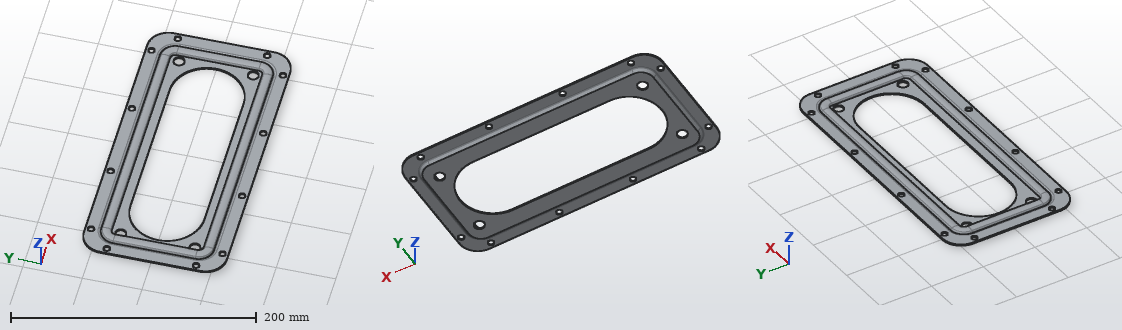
import cadquery as cq
import math

FRAME_LENGTH = 245.0
FRAME_WIDTH = 120.0
FRAME_CORNER_RADIUS = 18.0
SHEET = 1.5
RIM_TOP = 4.5
RIM_BOTTOM = RIM_TOP - SHEET
WALL_ANGLE = math.radians(45)
BEND_INSET = 10.3
INNER_BEND_RADIUS = 1.0
OUTER_BEND_RADIUS = INNER_BEND_RADIUS + SHEET
TURN_INSET = 25.5

SLOT_LENGTH = 192.0
SLOT_WIDTH = 62.0
RIM_HOLE_DIAMETER = 5.5
RIM_HOLE_INSET = 5.0
LONG_SIDE_HOLE_X = (35.0, 100.0)
SHORT_SIDE_HOLE_Y = 37.5
FLOOR_HOLE_DIAMETER = 9.0
FLOOR_HOLE_X = 96.5
FLOOR_HOLE_Y = 31.0

GASKET_TOP = 6.0
GASKET_WIDTH = 8.8
GASKET_SIDE_RADIUS = 1.67


def bend_point(radius, angle):
    """Inset and height of a point on the bend, turned by angle from the flat rim."""
    return (
        BEND_INSET + radius * math.sin(angle),
        RIM_TOP - OUTER_BEND_RADIUS + radius * math.cos(angle),
    )


def wall_inset(bend_radius, height):
    """Inset of the straight wall face that follows a bend, at a given height."""
    inset, bend_end = bend_point(bend_radius, WALL_ANGLE)
    return inset + (bend_end - height) / math.tan(WALL_ANGLE)


FLOOR_INSET = wall_inset(OUTER_BEND_RADIUS, SHEET)


def section_plane():
    """Section plane across the middle of the -Y side: x is inset, y is height."""
    return cq.Workplane(
        cq.Plane(origin=(0, -FRAME_WIDTH / 2, 0), xDir=(0, 1, 0), normal=(1, 0, 0))
    )


def plate(inset, corner_radius, bottom):
    """Flat sheet with a rounded rectangular outline parallel to the edge of the rim."""
    return (
        cq.Workplane("XY", origin=(0, 0, bottom))
        .rect(FRAME_LENGTH - 2 * inset, FRAME_WIDTH - 2 * inset)
        .extrude(SHEET)
        .edges("|Z")
        .fillet(corner_radius)
    )


def run_around(section):
    """Carry a section from section_plane once around the frame."""
    half_x = FRAME_LENGTH / 2 - BEND_INSET
    half_y = FRAME_WIDTH / 2 - BEND_INSET
    radius = TURN_INSET - BEND_INSET
    straight_x = half_x - radius
    straight_y = half_y - radius
    path = (
        cq.Workplane("XY")
        .moveTo(0, -half_y)
        .lineTo(straight_x, -half_y)
        .tangentArcPoint((half_x, -straight_y), relative=False)
        .lineTo(half_x, straight_y)
        .tangentArcPoint((straight_x, half_y), relative=False)
        .lineTo(-straight_x, half_y)
        .tangentArcPoint((-half_x, straight_y), relative=False)
        .lineTo(-half_x, -straight_y)
        .tangentArcPoint((-straight_x, -half_y), relative=False)
        .close()
    )
    return section.sweep(path)


def make_wall():
    """Bent strip that joins the rim to the floor."""
    section = (
        section_plane()
        .moveTo(BEND_INSET, RIM_TOP)
        .threePointArc(
            bend_point(OUTER_BEND_RADIUS, WALL_ANGLE / 2), bend_point(OUTER_BEND_RADIUS, WALL_ANGLE)
        )
        .lineTo(FLOOR_INSET, SHEET)
        .lineTo(FLOOR_INSET, 0)
        .lineTo(wall_inset(INNER_BEND_RADIUS, 0), 0)
        .lineTo(*bend_point(INNER_BEND_RADIUS, WALL_ANGLE))
        .threePointArc(bend_point(INNER_BEND_RADIUS, WALL_ANGLE / 2), (BEND_INSET, RIM_BOTTOM))
        .close()
    )
    return run_around(section)


def mirrored(points):
    """Each point with its reflections across the X and Y axes."""
    return [(sx * x, sy * y) for x, y in points for sx in (-1, 1) for sy in (-1, 1)]


def holes(points, diameter):
    """Cutting cylinders for through holes."""
    return cq.Workplane("XY").pushPoints(points).circle(diameter / 2).extrude(RIM_TOP)


def make_frame():
    rim = plate(0, FRAME_CORNER_RADIUS, RIM_BOTTOM).cut(
        plate(BEND_INSET, TURN_INSET - BEND_INSET, RIM_BOTTOM)
    )
    floor = plate(FLOOR_INSET, TURN_INSET - FLOOR_INSET, 0)
    slot = cq.Workplane("XY").slot2D(SLOT_LENGTH, SLOT_WIDTH).extrude(SHEET)

    long_side_y = FRAME_WIDTH / 2 - RIM_HOLE_INSET
    short_side_x = FRAME_LENGTH / 2 - RIM_HOLE_INSET
    rim_holes = [(x, long_side_y) for x in LONG_SIDE_HOLE_X]
    rim_holes.append((short_side_x, SHORT_SIDE_HOLE_Y))
    floor_holes = [(FLOOR_HOLE_X, FLOOR_HOLE_Y)]

    return (
        rim.union(make_wall())
        .union(floor)
        .cut(slot)
        .cut(holes(mirrored(rim_holes), RIM_HOLE_DIAMETER))
        .cut(holes(mirrored(floor_holes), FLOOR_HOLE_DIAMETER))
    )


def make_gasket():
    half_height = (GASKET_TOP - SHEET) / 2
    side_offset = GASKET_WIDTH / 2 - GASKET_SIDE_RADIUS
    crown_radius = (side_offset**2 + half_height**2 - GASKET_SIDE_RADIUS**2) / (
        2 * (half_height - GASKET_SIDE_RADIUS)
    )
    joint_angle = math.asin(side_offset / (crown_radius - GASKET_SIDE_RADIUS))
    joint_x = crown_radius * math.sin(joint_angle)
    joint_y = GASKET_SIDE_RADIUS * math.cos(joint_angle)

    middle = SHEET + half_height
    wall_gap = GASKET_SIDE_RADIUS / math.sin(WALL_ANGLE)
    centre = wall_inset(OUTER_BEND_RADIUS, middle) + wall_gap + side_offset

    section = (
        section_plane()
        .center(centre, middle)
        .moveTo(-joint_x, joint_y)
        .threePointArc((0, half_height), (joint_x, joint_y))
        .threePointArc((GASKET_WIDTH / 2, 0), (joint_x, -joint_y))
        .threePointArc((0, -half_height), (-joint_x, -joint_y))
        .threePointArc((-GASKET_WIDTH / 2, 0), (-joint_x, joint_y))
        .close()
    )
    return run_around(section)


frame = make_frame()
gasket = make_gasket()
result = cq.Compound.makeCompound([frame.solids().val(), gasket.solids().val()])